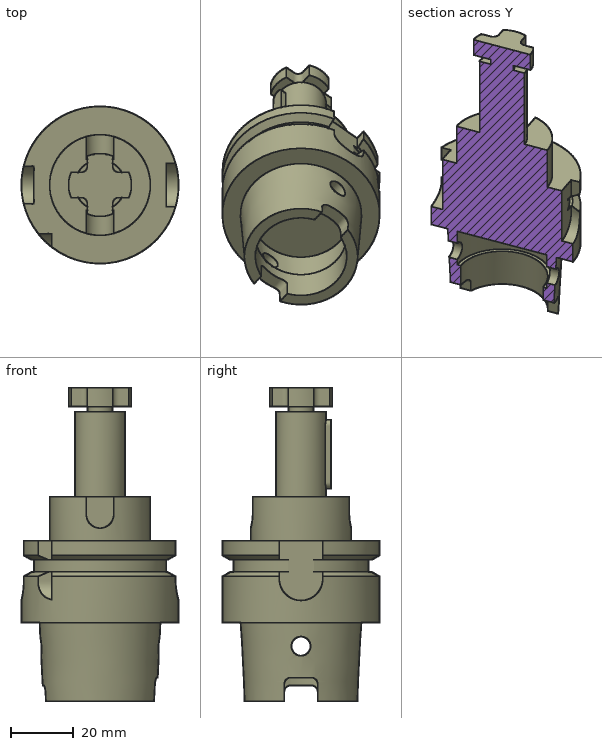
import cadquery as cq
import math

OVERSIZE = 5.0

SHANK_LENGTH = 25.0
SHANK_TOP_DIAMETER = 38.5
TAPER_RATIO = 9.98
SHANK_MOUTH_DIAMETER = 29.0
SHANK_CAVITY_DIAMETER = 31.5
CAVITY_BOTTOM_Z = -12.5
CROSS_HOLE_DIAMETER = 6.0
CROSS_HOLE_Z = -7.5
DRIVE_SLOT_WIDTH = 10.54
DRIVE_SLOT_CORNER_RADIUS = 2.0
SHALLOW_DRIVE_SLOT_DEPTH = 5.0
DEEP_DRIVE_SLOT_DEPTH = 7.5

FLANGE_DIAMETER = 50.0
FLANGE_HEIGHT = 26.0
GROOVE_DIAMETER = 43.0
GROOVE_CENTER_Z = 18.0
GROOVE_FLOOR_WIDTH = 3.75
GROOVE_RIM_WIDTH = 6.7
GROOVE_FLANK_ANGLE = 30.0

KEYWAY_BOTTOM_Z = 7.0
LEFT_KEYWAY_WIDTH = 12.0
LEFT_KEYWAY_FLOOR_X = -21.0
RIGHT_KEYWAY_WIDTH = 13.8
RIGHT_KEYWAY_FLOOR_X = 21.1
NOTCH_WIDTH = LEFT_KEYWAY_WIDTH
NOTCH_FLOOR_X = -15.4
NOTCH_SIDE_Y = -15.45

BOSS_DIAMETER = 32.0
BOSS_HEIGHT = 14.0
BOSS_SLOT_WIDTH = 8.7
BOSS_SLOT_DEPTH = 10.0
BOSS_SLOT_FLOOR_Y = 8.1

PILOT_DIAMETER = 16.0
PILOT_HEIGHT = 27.0
KEY_WIDTH = 4.0
KEY_LENGTH = 22.0
KEY_TOP_Y = 9.6

NECK_DIAMETER = 8.0
NECK_HEIGHT = 1.6
HEAD_DIAMETER = 20.0
HEAD_HEIGHT = 6.0
HEAD_ARM_WIDTH = 8.0
HEAD_CORNER_RADIUS = 2.0

BOSS_TOP_Z = FLANGE_HEIGHT + BOSS_HEIGHT
PILOT_TOP_Z = BOSS_TOP_Z + PILOT_HEIGHT
NECK_TOP_Z = PILOT_TOP_Z + NECK_HEIGHT


def cylinder(diameter, bottom_z, height):
    """Upright cylinder on the part axis."""
    return cq.Workplane("XY").workplane(offset=bottom_z).circle(diameter / 2).extrude(height)


def box(x_range, y_range, z_range):
    """Box spanning the given (start, end) ranges along each axis."""
    sizes = [end - start for start, end in (x_range, y_range, z_range)]
    corner = (x_range[0], y_range[0], z_range[0])
    return cq.Workplane("XY").box(*sizes, centered=False).translate(corner)


def hollow_shank():
    """Tapered shank with a mouth opening into a wider cavity, cross-drilled along X."""
    top_radius = SHANK_TOP_DIAMETER / 2
    bottom_radius = (SHANK_TOP_DIAMETER - SHANK_LENGTH / TAPER_RATIO) / 2
    mouth_radius = SHANK_MOUTH_DIAMETER / 2
    cavity_radius = SHANK_CAVITY_DIAMETER / 2
    wall = [
        (cavity_radius, 0),
        (top_radius, 0),
        (bottom_radius, -SHANK_LENGTH),
        (mouth_radius, -SHANK_LENGTH),
        (mouth_radius, CAVITY_BOTTOM_Z),
        (cavity_radius, CAVITY_BOTTOM_Z),
    ]
    shank = cq.Workplane("XZ").polyline(wall).close().revolve(360, (0, 0), (0, 1))
    cross_hole = (
        cq.Workplane("YZ")
        .center(0, CROSS_HOLE_Z)
        .circle(CROSS_HOLE_DIAMETER / 2)
        .extrude(SHANK_TOP_DIAMETER, both=True)
    )
    shank = shank.cut(cross_hole)
    shank = shank.cut(drive_slot(SHALLOW_DRIVE_SLOT_DEPTH, -1))
    return shank.cut(drive_slot(DEEP_DRIVE_SLOT_DEPTH, 1))


def drive_slot(depth, x_side):
    """Cutter for the slot in the shank end on one side in X (+1 or -1)."""
    bottom_z = -SHANK_LENGTH - OVERSIZE
    slot = box(
        (0, SHANK_TOP_DIAMETER),
        (-DRIVE_SLOT_WIDTH / 2, DRIVE_SLOT_WIDTH / 2),
        (bottom_z, depth - SHANK_LENGTH),
    )
    slot = slot.edges("|X and >Z").fillet(DRIVE_SLOT_CORNER_RADIUS)
    return slot if x_side > 0 else slot.mirror("YZ")


def flange():
    """Flange disc with a gripper groove: a straight-walled floor below sloping flanks."""
    rim_radius = FLANGE_DIAMETER / 2
    floor_radius = GROOVE_DIAMETER / 2
    floor_half = GROOVE_FLOOR_WIDTH / 2
    rim_half = GROOVE_RIM_WIDTH / 2
    flank_radius = rim_radius - (rim_half - floor_half) / math.tan(math.radians(GROOVE_FLANK_ANGLE))
    floor_z = (GROOVE_CENTER_Z - floor_half, GROOVE_CENTER_Z + floor_half)
    outline = [
        (0, 0),
        (rim_radius, 0),
        (rim_radius, GROOVE_CENTER_Z - rim_half),
        (flank_radius, floor_z[0]),
        (floor_radius, floor_z[0]),
        (floor_radius, floor_z[1]),
        (flank_radius, floor_z[1]),
        (rim_radius, GROOVE_CENTER_Z + rim_half),
        (rim_radius, FLANGE_HEIGHT),
        (0, FLANGE_HEIGHT),
    ]
    return cq.Workplane("XZ").polyline(outline).close().revolve(360, (0, 0), (0, 1))


def round_bottom_slot(plane, center, width, bottom_z, top_z):
    """Outline of an upright slot with a half-round bottom, on a vertical plane."""
    radius = width / 2
    shoulder_z = bottom_z + radius
    return (
        cq.Workplane(plane)
        .moveTo(center - radius, top_z)
        .lineTo(center - radius, shoulder_z)
        .threePointArc((center, bottom_z), (center + radius, shoulder_z))
        .lineTo(center + radius, top_z)
        .close()
    )


def rim_keyway(floor_x, center_y, width):
    """Cutter for a keyway running from its floor outward through the flange rim in X."""
    reach = math.copysign(FLANGE_DIAMETER / 2, floor_x)
    profile = round_bottom_slot("YZ", center_y, width, KEYWAY_BOTTOM_Z, FLANGE_HEIGHT)
    return profile.extrude(reach).translate((floor_x, 0, 0))


def slotted_boss():
    """Boss with a round-bottomed slot in its +Y and -Y sides, open at the top."""
    boss = cylinder(BOSS_DIAMETER, FLANGE_HEIGHT, BOSS_HEIGHT)
    slot_bottom_z = BOSS_TOP_Z - BOSS_SLOT_DEPTH
    profile = round_bottom_slot("XZ", 0, BOSS_SLOT_WIDTH, slot_bottom_z, BOSS_TOP_Z)
    front_slot = profile.extrude(BOSS_DIAMETER / 2).translate((0, -BOSS_SLOT_FLOOR_Y, 0))
    return boss.cut(front_slot).cut(front_slot.mirror("XZ"))


def keyed_pilot():
    """Pilot with a round-ended feather key standing out on the +Y side, halfway up."""
    pilot = cylinder(PILOT_DIAMETER, BOSS_TOP_Z, PILOT_HEIGHT)
    key = (
        cq.Workplane("XZ")
        .center(0, BOSS_TOP_Z + PILOT_HEIGHT / 2)
        .slot2D(KEY_LENGTH, KEY_WIDTH, 90)
        .extrude(-KEY_TOP_Y)
    )
    return pilot.union(key)


def cross_head():
    """Four-armed screw head with rounded inner corners, on its neck."""
    arm_half = HEAD_ARM_WIDTH / 2
    reach = HEAD_DIAMETER / 2
    heights = (NECK_TOP_Z, NECK_TOP_Z + HEAD_HEIGHT)
    x_arm = box((-reach, reach), (-arm_half, arm_half), heights)
    y_arm = box((-arm_half, arm_half), (-reach, reach), heights)
    inner_corners = cq.selectors.BoxSelector(
        (-HEAD_ARM_WIDTH, -HEAD_ARM_WIDTH, heights[0]),
        (HEAD_ARM_WIDTH, HEAD_ARM_WIDTH, heights[1]),
    )
    head = x_arm.union(y_arm).edges("|Z").edges(inner_corners).fillet(HEAD_CORNER_RADIUS)
    head = head.intersect(cylinder(HEAD_DIAMETER, NECK_TOP_Z, HEAD_HEIGHT))
    return head.union(cylinder(NECK_DIAMETER, PILOT_TOP_Z, NECK_HEIGHT))


notch_center_y = NOTCH_SIDE_Y - NOTCH_WIDTH / 2

result = (
    flange()
    .cut(rim_keyway(LEFT_KEYWAY_FLOOR_X, 0, LEFT_KEYWAY_WIDTH))
    .cut(rim_keyway(RIGHT_KEYWAY_FLOOR_X, 0, RIGHT_KEYWAY_WIDTH))
    .cut(rim_keyway(NOTCH_FLOOR_X, notch_center_y, NOTCH_WIDTH))
    .union(hollow_shank())
    .union(slotted_boss())
    .union(keyed_pilot())
    .union(cross_head())
)